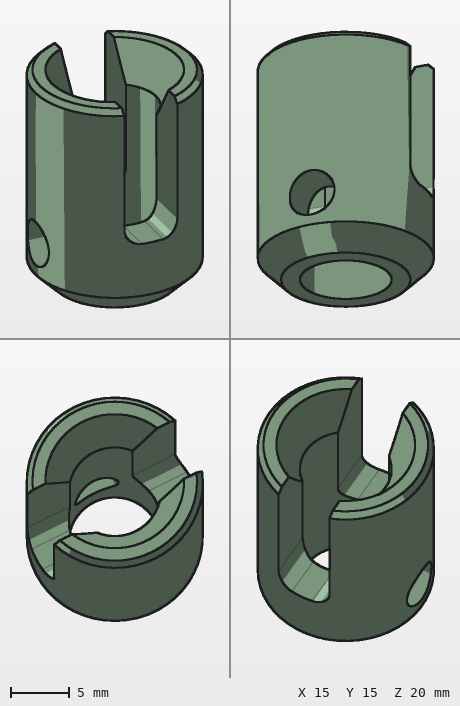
import cadquery as cq
import math

height = 20.0
outer_diameter = 15.0
bore_diameter = 7.8
top_chamfer = 0.5
bottom_chamfer = 2.0

lead_in_diameter = 11.8
lead_in_angle = 60.0
lead_in_depth = (lead_in_diameter - bore_diameter) / 2 / math.tan(math.radians(lead_in_angle / 2))

slot_width = 5.0
slot_depth = 13.0
slot_corner_radius = 1.5

pin_hole_diameter = 4.15
pin_hole_height = 5.0


def make_sleeve():
    """Chamfered cylinder standing on the XY plane, with its stepped bore."""
    outer_radius = outer_diameter / 2
    bore_radius = bore_diameter / 2
    profile = [
        (bore_radius, 0),
        (outer_radius - bottom_chamfer, 0),
        (outer_radius, bottom_chamfer),
        (outer_radius, height - top_chamfer),
        (outer_radius - top_chamfer, height),
        (lead_in_diameter / 2, height),
        (bore_radius, height - lead_in_depth),
    ]
    return cq.Workplane("XZ").polyline(profile).close().revolve(360, (0, 0), (0, 1))


def make_slot():
    """Cutter for the slot, rounded along its two floor edges."""
    return (
        cq.Workplane("XY", origin=(0, 0, height - slot_depth))
        .box(outer_diameter, slot_width, slot_depth, centered=(True, True, False))
        .edges("|X and <Z")
        .fillet(slot_corner_radius)
    )


def make_pin_hole():
    """Cutter running from the sleeve axis out through the -Y wall."""
    return (
        cq.Workplane("XZ")
        .center(0, pin_hole_height)
        .circle(pin_hole_diameter / 2)
        .extrude(outer_diameter / 2)
    )


result = make_sleeve().cut(make_slot()).cut(make_pin_hole())